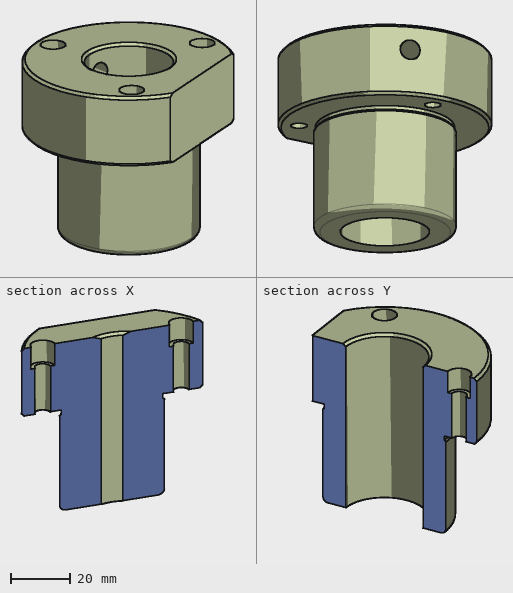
import cadquery as cq
import math

total_height = 62.0
flange_height = 25.0
flange_radius = 36.0
flange_chamfer = 1.0
flat_offset = 28.0
body_radius = 24.0
body_end_fillet = 2.0

groove_height = 2.0
groove_depth = 0.5
groove_slope_height = 0.7

bore_radius = 15.0
bore_chamfer = 1.0

screw_count = 3
screw_circle_radius = 29.0
screw_diameter = 5.5
counterbore_diameter = 8.5
counterbore_depth = 8.0

radial_hole_diameter = 6.8
radial_hole_angle = 160.0
radial_hole_drop = 9.0

flange_top = flange_height
body_bottom = flange_height - total_height


def make_flange():
    disc = cq.Workplane("XY").circle(flange_radius).extrude(flange_height)
    disc = disc.edges("%CIRCLE").chamfer(flange_chamfer)
    keep_length = flange_radius + flat_offset
    keep = cq.Workplane("XY").box(
        keep_length, 2 * flange_radius, flange_height, centered=(False, True, False)
    ).translate((-flange_radius, 0, 0))
    return disc.intersect(keep)


def make_body():
    neck_radius = body_radius - groove_depth
    profile = (
        cq.Workplane("XZ")
        .moveTo(0, 0)
        .lineTo(neck_radius, 0)
        .lineTo(neck_radius, groove_slope_height - groove_height)
        .lineTo(body_radius, -groove_height)
        .lineTo(body_radius, body_bottom)
        .lineTo(0, body_bottom)
        .close()
    )
    body = profile.revolve(360, (0, 0, 0), (0, 1, 0))
    return body.faces("<Z").edges().fillet(body_end_fillet)


def cut_bore(part):
    bored = part.faces(">Z").workplane(origin=(0, 0, flange_top)).circle(bore_radius).cutThruAll()
    mouth = cq.Solid.makeCone(
        bore_radius, bore_radius + bore_chamfer, bore_chamfer, pnt=cq.Vector(0, 0, flange_top - bore_chamfer)
    )
    return bored.cut(cq.Workplane(mouth))


def cut_screw_holes(part):
    return (
        part.faces(">Z")
        .workplane(origin=(0, 0, flange_top))
        .polarArray(screw_circle_radius, 180, 360, screw_count)
        .cboreHole(screw_diameter, counterbore_diameter, counterbore_depth, flange_height)
    )


def cut_radial_hole(part):
    angle = math.radians(radial_hole_angle)
    start = cq.Vector(0, 0, flange_top - radial_hole_drop)
    outward = cq.Vector(math.cos(angle), math.sin(angle), 0)
    drill = cq.Solid.makeCylinder(radial_hole_diameter / 2, flange_radius, start, outward)
    return part.cut(cq.Workplane(drill))


result = make_flange().union(make_body())
result = cut_bore(result)
result = cut_screw_holes(result)
result = cut_radial_hole(result)